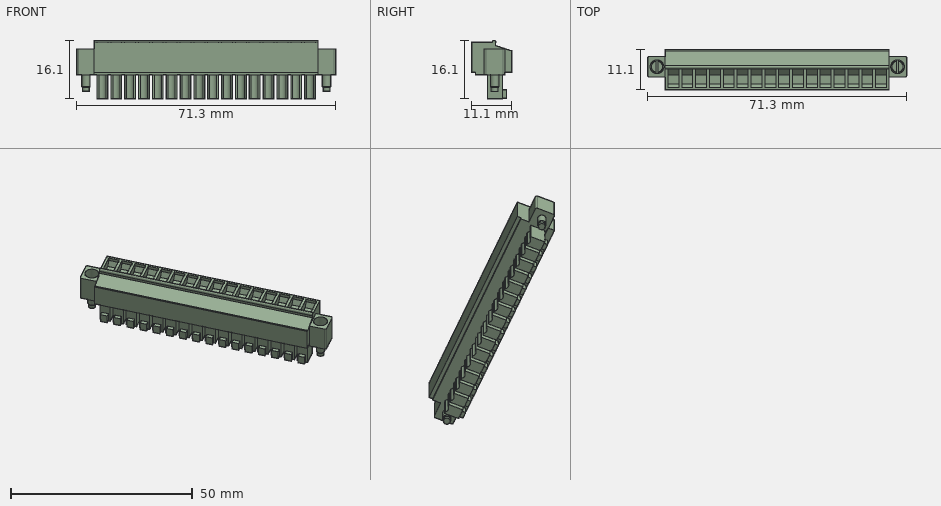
import cadquery as cq
import math


total_length = 71.35
body_length = 61.65
pole_count = 16
pole_span = 57.15
pole_pitch = pole_span / (pole_count - 1)

body_depth = 11.1
body_top = 9.0
front_step_depth = 1.1
rear_step_depth = 2.0
step_height = 0.65
rear_lip_depth = 0.4
rear_lip_top = 6.7
slope_top = 8.05
rib_radius = 0.5
rib_front = 5.7
rib_overhang = 0.1

pocket_width = 3.0
pocket_front = 0.65
pocket_depth = 2.3
pocket_slope_run = 1.65
pocket_slope_drop = 1.85
pocket_front_ramp_run = 0.9
pocket_front_ramp_rise = 1.4

leg_width = 3.0
leg_front = 4.35
leg_rear = 8.55
leg_length = 6.6
groove_width = 1.9
groove_depth = 0.5
tab_width = 1.9
tab_depth = 1.1
tab_height = 2.4
tab_lift = 0.15

ear_front = 3.5
ear_depth = 5.7
ear_height = 7.1
ear_corner_radius = 0.5
screw_inset = 2.6
ear_length = (total_length - body_length) / 2
screw_offset = total_length / 2 - screw_inset
screw_y = ear_front + ear_depth / 2

head_diameter = 3.8
head_height = 2.15
head_seat = 1.4
head_chamfer = 0.35
slot_width = 0.65
slot_depth = 0.7
shank_diameter = 2.35
shank_end = -3.2
tip_diameter = 1.9
taper_height = 0.35
tip_end = -4.6

pole_positions = [-pole_span / 2 + i * pole_pitch for i in range(pole_count)]


def extrude_along_x(outline, length, center_x=0):
    """Extrude a closed Y-Z outline by a length centred on center_x."""
    return outline.close().extrude(length / 2, both=True).translate((center_x, 0, 0))


def make_body():
    rib_crest = rib_front + rib_radius
    rib_rear = rib_crest + rib_radius - rib_overhang
    round_end = body_top - math.sqrt(rib_radius**2 - (rib_rear - rib_crest) ** 2)
    outline = (
        cq.Workplane("YZ")
        .moveTo(front_step_depth, 0)
        .lineTo(front_step_depth, step_height)
        .lineTo(0, step_height)
        .lineTo(0, body_top)
        .lineTo(rib_front, body_top)
        .threePointArc((rib_crest, body_top + rib_radius), (rib_rear, round_end))
        .lineTo(rib_rear, slope_top)
        .lineTo(body_depth - rear_lip_depth, rear_lip_top)
        .lineTo(body_depth, rear_lip_top)
        .lineTo(body_depth, step_height)
        .lineTo(body_depth - rear_step_depth, step_height)
        .lineTo(body_depth - rear_step_depth, 0)
    )
    return extrude_along_x(outline, body_length)


def make_pocket(x):
    """Wire pocket with a sloped rear wall and a ramp up to its front wall."""
    floor = body_top - pocket_depth
    outline = (
        cq.Workplane("YZ")
        .moveTo(pocket_front, body_top)
        .lineTo(pocket_front, floor + pocket_front_ramp_rise)
        .lineTo(pocket_front + pocket_front_ramp_run, floor)
        .lineTo(rib_front - pocket_slope_run, floor)
        .lineTo(rib_front - pocket_slope_run, body_top - pocket_slope_drop)
        .lineTo(rib_front, body_top)
    )
    return extrude_along_x(outline, pocket_width, x)


def make_leg(x):
    """Contact leg with a round groove down its front and a tab at the rear."""
    leg = (
        cq.Workplane("XY")
        .moveTo(x - leg_width / 2, leg_front)
        .lineTo(x - groove_width / 2, leg_front)
        .threePointArc((x, leg_front + groove_depth), (x + groove_width / 2, leg_front))
        .lineTo(x + leg_width / 2, leg_front)
        .lineTo(x + leg_width / 2, leg_rear)
        .lineTo(x - leg_width / 2, leg_rear)
        .close()
        .extrude(-leg_length)
    )
    tab = (
        cq.Workplane("XY")
        .box(tab_width, tab_depth, tab_height, centered=(True, False, False))
        .translate((x, leg_rear, tab_lift - leg_length))
    )
    return leg.union(tab)


def make_ear(side):
    """Ear at one end of the body, bored for its screw; side is -1 or 1."""
    outer_face = ">X" if side > 0 else "<X"
    ear = (
        cq.Workplane("XY")
        .box(ear_length, ear_depth, ear_height, centered=(True, False, False))
        .translate((side * (body_length + ear_length) / 2, ear_front, 0))
        .faces(outer_face).edges("|Z").fillet(ear_corner_radius)
    )
    screw_axis = cq.Workplane("XY").center(side * screw_offset, screw_y)
    head_bore = (
        screw_axis.workplane(offset=head_seat)
        .circle(head_diameter / 2).extrude(ear_height - head_seat)
    )
    shank_hole = screw_axis.circle(shank_diameter / 2).extrude(head_seat)
    return ear.cut(head_bore).cut(shank_hole)


def make_housing():
    housing = make_body()
    for x in pole_positions:
        housing = housing.cut(make_pocket(x)).union(make_leg(x))
    for side in (-1, 1):
        housing = housing.union(make_ear(side))
    return housing


def make_screw(x):
    """Slotted screw, turned about its axis, seated in an ear."""
    head_top = head_seat + head_height
    head_radius = head_diameter / 2
    shank_radius = shank_diameter / 2
    tip_radius = tip_diameter / 2
    screw = (
        cq.Workplane("XZ")
        .moveTo(0, head_top)
        .lineTo(head_radius - head_chamfer, head_top)
        .lineTo(head_radius, head_top - head_chamfer)
        .lineTo(head_radius, head_seat)
        .lineTo(shank_radius, head_seat)
        .lineTo(shank_radius, shank_end)
        .lineTo(tip_radius, shank_end - taper_height)
        .lineTo(tip_radius, tip_end)
        .lineTo(0, tip_end)
        .close()
        .revolve(360, (0, 0), (0, 1))
    )
    slot = (
        cq.Workplane("XY")
        .box(slot_width, head_diameter, slot_depth, centered=(True, True, False))
        .translate((0, 0, head_top - slot_depth))
    )
    return screw.cut(slot).translate((x, screw_y, 0))


housing = make_housing()
screws = [make_screw(side * screw_offset) for side in (-1, 1)]

result = cq.Compound.makeCompound([housing.val(), *[screw.val() for screw in screws]])